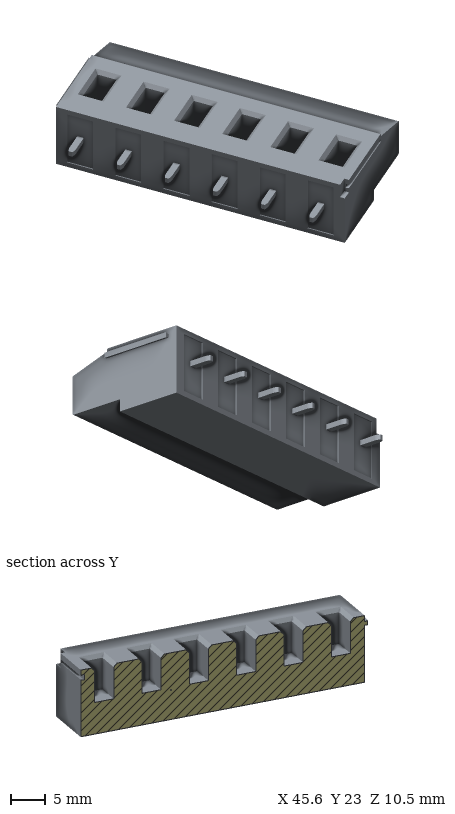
import cadquery as cq

overall_length = 45.6
overall_depth = 23.0
height = 10.5
rib_reach = 0.55
housing_length = overall_length - rib_reach
pole_count = 6
pole_pitch = housing_length / pole_count
pole_centers = [(pole + 0.5) * pole_pitch for pole in range(pole_count)]

pin_length = 3.45
housing_depth = overall_depth - pin_length
plate_thickness = 1.5
ridge_y = 13.05
ridge_foot_z = 10.0
ridge_radius = 0.27
back_top_z = 7.95
back_radius = 0.27
step_y = 10.6
step_height = 1.9

well_width = 4.05
well_span = 6.4
well_center_y = 7.05
well_inset = 0.55
well_taper_depth = 0.55
well_depth = 5.45

window_width = 4.05
window_margin = 0.8
window_depth = 0.2
pin_width = 1.0
pin_thickness = 0.8
pin_center_z = 5.6
tip_length = 0.78
tip_width = 0.5
tip_bulge = 0.7

dovetail_center_z = 9.25
dovetail_wide = 0.8
dovetail_narrow = 0.55
notch_width = 0.75
notch_height = 2.3


def make_housing():
    profile = [
        (0, 0),
        (step_y, 0),
        (step_y, step_height),
        (housing_depth, step_height),
        (housing_depth, back_top_z),
        (ridge_y, ridge_foot_z),
        (ridge_y, height),
        (0, height),
    ]
    housing = cq.Workplane("YZ").polyline(profile).close().extrude(housing_length)
    housing = housing.faces(">Y").edges("|X").fillet(back_radius)
    ridge_edge = cq.selectors.NearestToPointSelector((housing_length / 2, ridge_y, height))
    return housing.edges(ridge_edge).fillet(ridge_radius)


def make_well(center_x):
    mouth = cq.Workplane("XY", origin=(center_x, well_center_y, height))
    throat_width = well_width - 2 * well_inset
    throat_span = well_span - 2 * well_inset
    funnel = (
        mouth.rect(well_width, well_span)
        .workplane(offset=-well_taper_depth)
        .rect(throat_width, throat_span)
        .loft(ruled=True)
    )
    return funnel.union(mouth.rect(throat_width, throat_span).extrude(-well_depth))


def make_window(center_x):
    window_height = height - 2 * window_margin
    face = cq.Workplane("XZ", origin=(center_x, 0, height / 2))
    return face.rect(window_width, window_height).extrude(-window_depth)


def make_pin(center_x):
    """Flat pin rooted in the plate, its tip narrowed in X by two arcs."""
    half_width = pin_width / 2
    half_tip = tip_width / 2
    shoulder_y = tip_length - pin_length
    arc_x = half_tip + tip_bulge * (half_width - half_tip)
    arc_y = shoulder_y - tip_length / 2
    return (
        cq.Workplane("XY", origin=(center_x, 0, pin_center_z - pin_thickness / 2))
        .moveTo(-half_width, plate_thickness)
        .lineTo(-half_width, shoulder_y)
        .threePointArc((-arc_x, arc_y), (-half_tip, -pin_length))
        .lineTo(half_tip, -pin_length)
        .threePointArc((arc_x, arc_y), (half_width, shoulder_y))
        .lineTo(half_width, plate_thickness)
        .close()
        .extrude(pin_thickness)
    )


def make_dovetail(left_x):
    """Bar along Y behind the plate, wide at left_x and narrow at left_x + rib_reach."""
    half_wide = dovetail_wide / 2
    half_narrow = dovetail_narrow / 2
    section = [
        (0, -half_wide),
        (rib_reach, -half_narrow),
        (rib_reach, half_narrow),
        (0, half_wide),
    ]
    start = cq.Workplane("XZ", origin=(left_x, plate_thickness, dovetail_center_z))
    return start.polyline(section).close().extrude(plate_thickness - ridge_y)


def make_notch():
    corner = (housing_length - notch_width, 0, height - notch_height)
    return cq.Workplane("XY", origin=corner).box(
        notch_width, plate_thickness, notch_height, centered=False
    )


result = make_housing()
for pole_x in pole_centers:
    result = result.cut(make_well(pole_x)).cut(make_window(pole_x)).union(make_pin(pole_x))
result = result.union(make_dovetail(-rib_reach))
result = result.cut(make_dovetail(housing_length - rib_reach)).cut(make_notch())